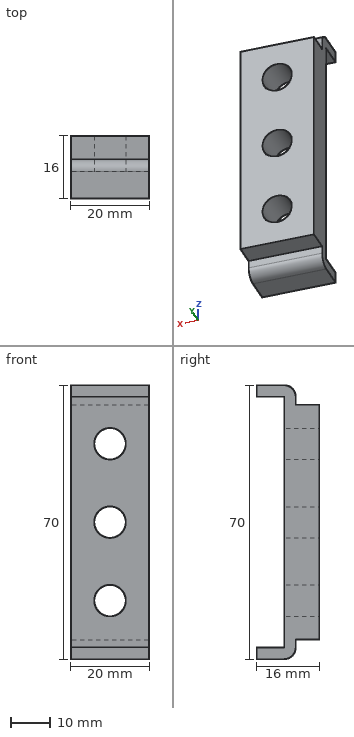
import cadquery as cq

height = 70.0
width = 20.0
sheet_thickness = 3.0
flange_reach = 7.0
bend_radius = 3.0
block_depth = 6.0
block_height = 60.0
hole_diameter = 8.0
hole_pitch = 20.0
hole_count = 3

web_front = flange_reach
web_back = web_front + sheet_thickness
depth = web_back + block_depth


def make_channel():
    """C-shaped channel opening toward -Y, with rounded outer corners."""
    outer = cq.Workplane("XY").box(width, web_back, height, centered=(True, False, True))
    outer = outer.edges("|X and >Y").fillet(bend_radius)
    opening_height = height - 2 * sheet_thickness
    opening = cq.Workplane("XY").box(width, web_front, opening_height, centered=(True, False, True))
    return outer.cut(opening)


def make_block():
    """Solid block on the back of the web."""
    block = cq.Workplane("XY").box(width, block_depth, block_height, centered=(True, False, True))
    return block.translate((0, web_back, 0))


def make_holes():
    """Row of cylinders along Y for the through holes, centred on the web."""
    return (
        cq.Workplane("XZ")
        .rarray(0.7, hole_pitch, 1, hole_count)
        .circle(hole_diameter / 2)
        .extrude(-depth)
    )


result = make_channel().union(make_block()).cut(make_holes())